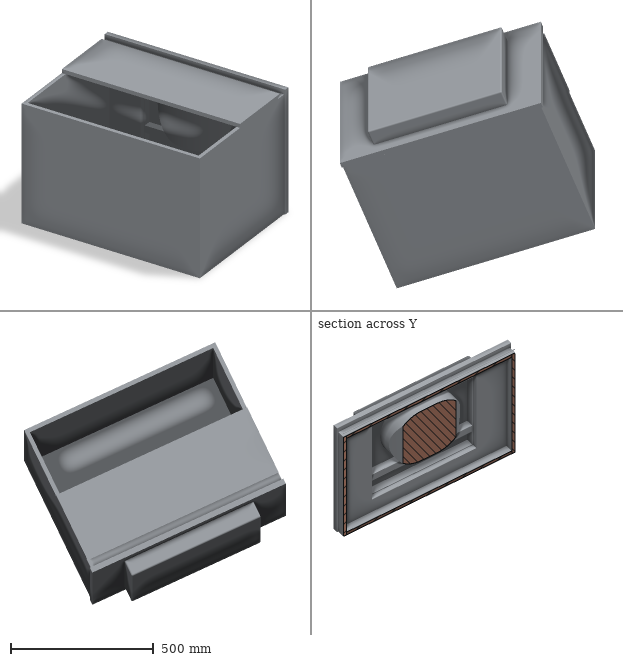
import cadquery as cq
import math


worktop_width = 750.0
worktop_thickness = 20.0
worktop_depth = 500.0
overall_height = 630.0

board = 15.0
floor_thickness = 16.0
cabinet_width = 740.0
cabinet_depth = 480.0

front_height = 259.5
front_thickness = 16.0
front_bottom = 262.5
grip_bevel = 10.5

rail_height = 60.0

basin_width = 500.0
basin_depth = 400.0
basin_height = 60.0
basin_edge_radius = 5.0
basin_wall = 28.5
recess_height = 30.0
tap_recess_depth = 63.0

bowl_radius = 231.0
bowl_drop = 81.0
bowl_width = 307.5
bowl_depth = 241.0

opening_margin = 25.0

basin_bottom = overall_height - basin_height
cabinet_height = basin_bottom - worktop_thickness
inner_width = cabinet_width - 2 * board
basin_back = (worktop_depth - basin_depth) / 2
recess_width = basin_width - 2 * basin_wall
tap_recess_back = basin_back + basin_wall
bowl_recess_back = tap_recess_back + tap_recess_depth + basin_wall
bowl_recess_front = basin_back + basin_depth - basin_wall
bowl_recess_depth = bowl_recess_front - bowl_recess_back
bowl_center_z = bowl_recess_front - bowl_depth / 2
recess_ceiling = basin_bottom + recess_height


def block(width, height, depth, bottom, back):
    """Box centred on X = 0, with its -Y face at bottom and its -Z face at back."""
    return cq.Workplane("XY").box(width, height, depth, centered=(True, False, False)).translate((0, bottom, back))


def make_side(direction):
    center_x = direction * (cabinet_width - board) / 2
    return block(board, cabinet_height, cabinet_depth, 0, 0).translate((center_x, 0, 0))


def make_back():
    return block(inner_width, cabinet_height, board, 0, 0)


def make_floor():
    return block(inner_width, floor_thickness, cabinet_depth - board, 0, board)


def make_rail():
    return block(inner_width, rail_height, board, cabinet_height - rail_height, cabinet_depth - board)


def make_drawer_front():
    inner_face = cabinet_depth
    outer_face = cabinet_depth + front_thickness
    front_top = front_bottom + front_height
    profile = [
        (front_bottom, inner_face),
        (front_top - grip_bevel, inner_face),
        (front_top, outer_face),
        (front_bottom, outer_face),
    ]
    return cq.Workplane("YZ").polyline(profile).close().extrude(cabinet_width / 2, both=True)


def make_worktop():
    slab = block(worktop_width, worktop_thickness, worktop_depth, cabinet_height, 0)
    opening = block(
        basin_width - 2 * opening_margin,
        worktop_thickness,
        basin_depth - 2 * opening_margin,
        cabinet_height,
        basin_back + opening_margin,
    )
    return slab.cut(opening)


def make_bowl():
    """Underside of the bowl, hanging from the ceiling of its recess."""
    axis_y = basin_bottom - bowl_drop + bowl_radius
    half_chord = math.sqrt(bowl_radius**2 - (axis_y - recess_ceiling) ** 2)
    drum = (
        cq.Workplane("XY", origin=(0, 0, bowl_recess_back))
        .moveTo(-half_chord, recess_ceiling)
        .threePointArc((0, basin_bottom - bowl_drop), (half_chord, recess_ceiling))
        .close()
        .extrude(bowl_recess_depth)
    )
    outline = (
        cq.Workplane("XZ", origin=(0, recess_ceiling, bowl_center_z))
        .slot2D(bowl_width, bowl_depth)
        .extrude(recess_height + bowl_drop)
    )
    return drum.intersect(outline)


def make_basin():
    body = block(basin_width, basin_height, basin_depth, basin_bottom, basin_back)
    body = body.edges("|Y or >Y").fillet(basin_edge_radius)
    tap_recess = block(recess_width, recess_height, tap_recess_depth, basin_bottom, tap_recess_back)
    bowl_recess = block(recess_width, recess_height, bowl_recess_depth, basin_bottom, bowl_recess_back)
    return body.cut(tap_recess).cut(bowl_recess).union(make_bowl())


sides = [make_side(direction) for direction in (-1, 1)]
back = make_back()
floor = make_floor()
rail = make_rail()
drawer_front = make_drawer_front()
worktop = make_worktop()
basin = make_basin()

result = cq.Compound.makeCompound(
    [
        *[side.val() for side in sides],
        back.val(),
        floor.val(),
        rail.val(),
        drawer_front.val(),
        worktop.val(),
        basin.val(),
    ]
)